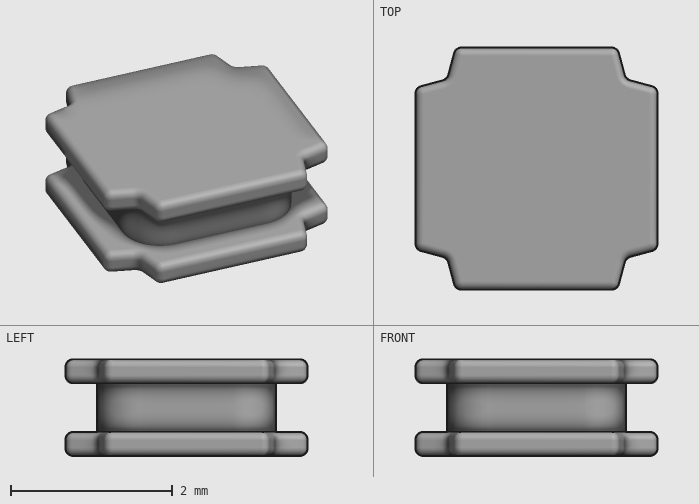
import cadquery as cq
import math

flange_width = 3.0
flange_thickness = 0.3
flange_gap = 0.6
straight_side = 2.005
notch_angle = 15.0
edge_radius = flange_thickness / 3

core_width = 2.22
core_corner_radius = 0.5

wall_slope = math.tan(math.radians(notch_angle))
notch_bottom = (straight_side + flange_width * wall_slope) / (2 * (1 + wall_slope))


def flange_outline():
    """Corner points of the notched square, counterclockwise from the +X side."""
    half_width = flange_width / 2
    half_side = straight_side / 2
    quadrant = [
        (half_width, half_side),
        (notch_bottom, notch_bottom),
        (half_side, half_width),
    ]
    points = []
    for _ in range(4):
        points.extend(quadrant)
        quadrant = [(-y, x) for x, y in quadrant]
    return points


def make_flange(bottom_z):
    """Notched plate with rounded corners and rounded upper and lower rims."""
    return (
        cq.Workplane("XY", origin=(0, 0, bottom_z))
        .polyline(flange_outline())
        .close()
        .extrude(flange_thickness)
        .edges("|Z")
        .fillet(edge_radius)
        .faces("<Z or >Z")
        .edges()
        .fillet(edge_radius)
    )


def make_core():
    """Rounded square block that fills the gap between the flanges."""
    return (
        cq.Workplane("XY", origin=(0, 0, flange_thickness))
        .rect(core_width, core_width)
        .extrude(flange_gap)
        .edges("|Z")
        .fillet(core_corner_radius)
    )


core = make_core()
flanges = [make_flange(bottom_z) for bottom_z in (0, flange_thickness + flange_gap)]

result = cq.Compound.makeCompound([core.solids().val(), *[flange.solids().val() for flange in flanges]])